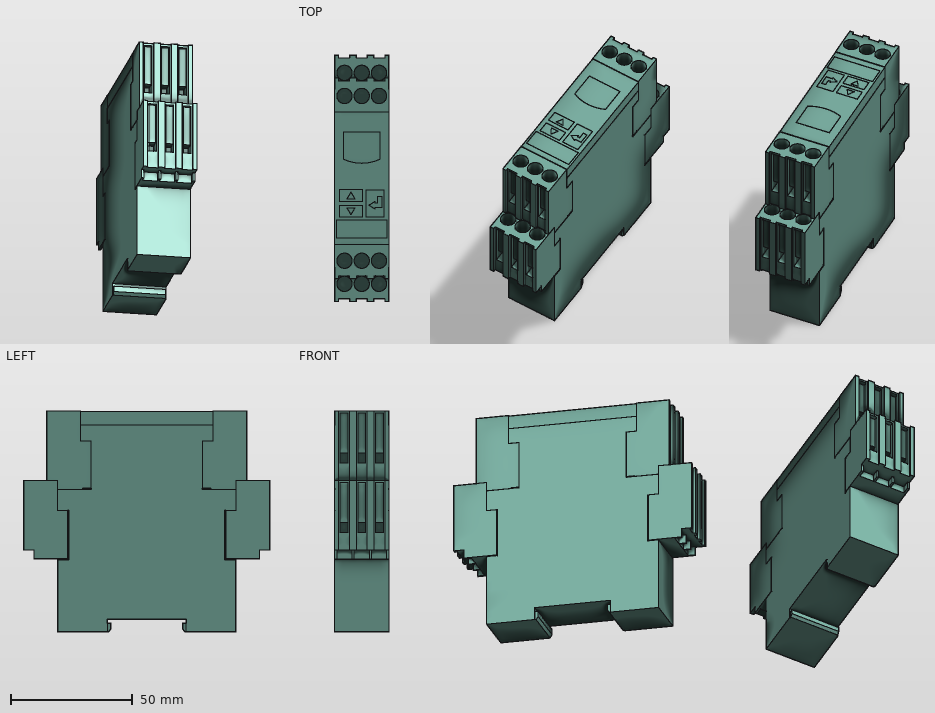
import cadquery as cq

width = 22.5
total_depth = 101.4
total_height = 91.0

housing_depth = 73.4
rail_gap = 32.3
rail_gap_height = 5.2
hook_reach = 1.4
hook_top = 3.6
hook_chamfer_width = 0.9
hook_chamfer_height = 1.3
hook_side_inset = 0.3

cap_depth = 54.5
cap_bottom = 85.1
cap_drop = 0.3
cap_top = total_height - cap_drop
cap_side_inset = 0.05

upper_block_side_inset = 0.1
lower_block_side_inset = 0.05
block_head_depth = 14.0
block_foot_shift = 4.3
block_head_height = 28.7
block_shoulder_drop = 12.4
block_height = 32.3
lower_outer_y = total_depth / 2
lower_top_z = 62.4
block_step = 9.5
upper_outer_y = lower_outer_y - block_step
upper_top_z = total_height
clearance = 0.35
upper_slit_length = 3.4

pole_count = 3
hole_pitch = 7.1
hole_diameter = 6.3
hole_depth = 15.0
hole_inset = 7.3
groove_pitch = 7.25
groove_width = 4.5
groove_depth = 1.1
slot_width = 3.2
slot_top_drop = 1.0
window_top_drop = 17.3
window_bottom_drop = 21.5
slot_depth = 1.6
window_depth = 7.3
foot_pocket_back = 7.3

engraving = 0.1
display_width = 15.0
display_top_y = 19.0
display_side_y = 7.9
display_arc_y = 6.2
small_key_width = 9.5
small_key_height = 4.8
small_key_x = -4.45
up_key_y = -7.05
down_key_y = -13.55
enter_key_width = 7.4
enter_key_height = 11.2
enter_key_x = 5.55
enter_key_y = -10.3
label_width = 20.6
label_height = 7.3
label_y = -20.8
triangle_base = 3.3
triangle_height = 2.8
arrow_tip_x = 2.9
arrow_neck_x = 5.5
arrow_stem_inner_x = 6.5
arrow_stem_outer_x = 8.25
arrow_axis_y = -11.05
arrow_head_half = 1.55
arrow_shaft_half = 0.85
arrow_stem_top_y = -7.4


def box(x_size, x_center, y_min, y_max, z_min, z_max):
    """Box centred in X, with its Y and Z limits given."""
    return cq.Workplane("XY").box(x_size, y_max - y_min, z_max - z_min).translate(
        (x_center, (y_min + y_max) / 2, (z_min + z_max) / 2)
    )


def side_profile(points, thickness):
    """Extrude a (y, z) outline across X, centred on the part."""
    return cq.Workplane("YZ").polyline(points).close().extrude(thickness / 2, both=True)


def both_ends(shape):
    """The shape together with its copy at the -Y end."""
    return shape.union(shape.mirror("XZ"))


def pole_positions(pitch):
    return [(i - (pole_count - 1) / 2) * pitch for i in range(pole_count)]


def rail_hook():
    wall_y = rail_gap / 2
    tip_y = wall_y - hook_reach
    points = [
        (wall_y + hook_reach, 0),
        (tip_y + hook_chamfer_width, 0),
        (tip_y, hook_chamfer_height),
        (tip_y, hook_top),
        (wall_y + hook_reach, hook_top),
    ]
    return side_profile(points, width - 2 * hook_side_inset)


def housing():
    half = housing_depth / 2
    body = box(width, 0, -half, half, 0, upper_top_z - block_height)
    core_half = cap_depth / 2
    body = body.union(box(width, 0, -core_half, core_half, 0, cap_bottom))
    body = body.cut(box(width, 0, -rail_gap / 2, rail_gap / 2, 0, rail_gap_height))
    cap = box(width - 2 * cap_side_inset, 0, -core_half, core_half, cap_bottom, cap_top)
    return body.union(cap).union(both_ends(rail_hook()))


def block_outline(outer_y, top_z):
    """Stepped side outline shared by the upper and lower terminal blocks."""
    inner_y = outer_y - block_head_depth
    shoulder_z = top_z - block_shoulder_drop
    head_bottom_z = top_z - block_head_height
    bottom_z = top_z - block_height
    return [
        (outer_y, top_z),
        (inner_y, top_z),
        (inner_y, shoulder_z),
        (inner_y - block_foot_shift, shoulder_z),
        (inner_y - block_foot_shift, bottom_z),
        (outer_y - block_foot_shift, bottom_z),
        (outer_y - block_foot_shift, head_bottom_z),
        (outer_y, head_bottom_z),
    ]


def pole_cuts(outer_y, top_z):
    """Screw holes, front grooves, wire slots and wire windows of one block."""
    groove_floor = outer_y - groove_depth
    head_bottom_z = top_z - block_head_height
    hole_axis_y = outer_y - hole_inset
    window_bottom = top_z - window_bottom_drop
    cuts = (
        cq.Workplane("XY", origin=(0, 0, top_z))
        .pushPoints([(x, hole_axis_y) for x in pole_positions(hole_pitch)])
        .circle(hole_diameter / 2)
        .extrude(-hole_depth)
    )
    for x in pole_positions(groove_pitch):
        groove = box(groove_width, x, groove_floor, outer_y, head_bottom_z, top_z)
        slot = box(slot_width, x, groove_floor - slot_depth, outer_y, window_bottom, top_z - slot_top_drop)
        window = box(slot_width, x, outer_y - window_depth, outer_y, window_bottom, top_z - window_top_drop)
        cuts = cuts.union(groove).union(slot).union(window)
    return cuts


def foot_pockets(outer_y, top_z):
    """Pockets below the head, open to the outside and underneath."""
    face_y = outer_y - block_foot_shift
    bottom_z = top_z - block_height
    head_bottom_z = top_z - block_head_height
    pockets = cq.Workplane("XY")
    for x in pole_positions(hole_pitch):
        pockets = pockets.union(
            box(hole_diameter, x, outer_y - foot_pocket_back, face_y, bottom_z, head_bottom_z)
        )
    return pockets


def terminal_block(outer_y, top_z, side_inset):
    block = side_profile(block_outline(outer_y, top_z), width - 2 * side_inset)
    return block.cut(pole_cuts(outer_y, top_z))


def lower_block_seat():
    """Room in the housing for the lower block foot, with its clearance."""
    foot_y = lower_outer_y - block_head_depth - block_foot_shift
    bottom_z = lower_top_z - block_height
    shoulder_z = lower_top_z - block_shoulder_drop
    return box(width, 0, foot_y - clearance, housing_depth / 2, bottom_z - clearance, shoulder_z)


def upper_block_seat():
    """Room in the housing for the upper block foot."""
    foot_y = upper_outer_y - block_head_depth - block_foot_shift
    bottom_z = upper_top_z - block_height
    shoulder_z = upper_top_z - block_shoulder_drop
    return box(width, 0, foot_y, cap_depth / 2, bottom_z, shoulder_z)


def upper_block_slit():
    """Short slit along the inner end of the upper block's underside."""
    foot_y = upper_outer_y - block_head_depth - block_foot_shift
    bottom_z = upper_top_z - block_height
    return box(width, 0, foot_y, foot_y + upper_slit_length, bottom_z, bottom_z + clearance)


def panel_plane():
    return cq.Workplane("XY", origin=(0, 0, cap_top))


def triangle(center_y, direction):
    base_y = center_y - direction * triangle_height / 2
    return panel_plane().polyline(
        [
            (small_key_x - triangle_base / 2, base_y),
            (small_key_x + triangle_base / 2, base_y),
            (small_key_x, base_y + direction * triangle_height),
        ]
    ).close()


def enter_arrow():
    return panel_plane().polyline(
        [
            (arrow_tip_x, arrow_axis_y),
            (arrow_neck_x, arrow_axis_y + arrow_head_half),
            (arrow_neck_x, arrow_axis_y + arrow_shaft_half),
            (arrow_stem_inner_x, arrow_axis_y + arrow_shaft_half),
            (arrow_stem_inner_x, arrow_stem_top_y),
            (arrow_stem_outer_x, arrow_stem_top_y),
            (arrow_stem_outer_x, arrow_axis_y - arrow_shaft_half),
            (arrow_neck_x, arrow_axis_y - arrow_shaft_half),
            (arrow_neck_x, arrow_axis_y - arrow_head_half),
        ]
    ).close()


def display():
    half = display_width / 2
    return (
        panel_plane()
        .moveTo(-half, display_side_y)
        .lineTo(-half, display_top_y)
        .lineTo(half, display_top_y)
        .lineTo(half, display_side_y)
        .threePointArc((0, display_arc_y), (-half, display_side_y))
        .close()
    )


def panel_cuts():
    """Engraved display, label field and keys, with deeper symbols in the keys."""
    keys = panel_plane().pushPoints([(small_key_x, up_key_y), (small_key_x, down_key_y)])
    fields = [
        display(),
        keys.rect(small_key_width, small_key_height),
        panel_plane().center(enter_key_x, enter_key_y).rect(enter_key_width, enter_key_height),
        panel_plane().center(0, label_y).rect(label_width, label_height),
    ]
    symbols = [triangle(up_key_y, 1), triangle(down_key_y, -1), enter_arrow()]
    cuts = cq.Workplane("XY")
    for sketch in fields:
        cuts = cuts.union(sketch.extrude(-engraving))
    for sketch in symbols:
        cuts = cuts.union(sketch.extrude(-2 * engraving))
    return cuts


upper_block = terminal_block(upper_outer_y, upper_top_z, upper_block_side_inset)
lower_block = terminal_block(lower_outer_y, lower_top_z, lower_block_side_inset)
lower_block = lower_block.cut(foot_pockets(lower_outer_y, lower_top_z))

result = housing().cut(both_ends(lower_block_seat())).cut(both_ends(upper_block_seat()))
result = result.union(both_ends(upper_block)).cut(both_ends(upper_block_slit()))
result = result.union(both_ends(lower_block)).cut(panel_cuts())